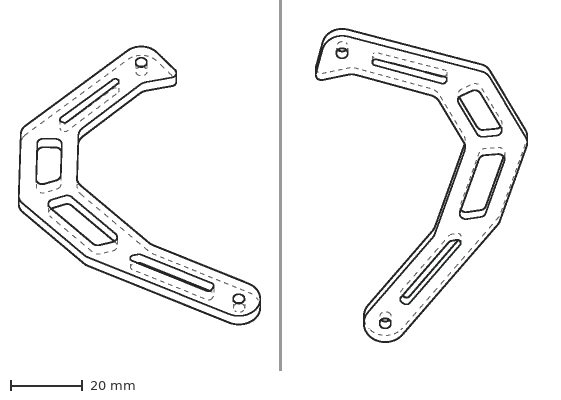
import cadquery as cq
import math

thickness = 4.0
arm_angle = 19.7
arm_end_radius = 6.0
right_hole = (84.7, 20.7)
left_hole = (6.1, 57.8)
hole_diameter = 3.2
left_end_radius = 5.6

outer_diagonal = 17.5
inner_diagonal = 40.2
web_top = 16.05
left_arm_inner_x = 11.5
left_edge_foot_x = -0.045
left_edge_head = (0.5, 63.8)
hook_tip = (17.1, 62.65)
hook_root_y = 53.2

bend_radius = 4.0
hook_tip_radius = 1.6

pocket_radius = 1.7
left_slot_radius = 0.9
right_slot_end_radius = 1.1
right_slot_tip_radius = 1.0

left_slot_right_x = 7.0
left_slot_foot = (4.7, 27.0)
left_slot_foot_right_y = 27.9
left_slot_head = (5.1, 49.0)

pocket_outer_diagonal = 24.1
pocket_inner_diagonal = 33.7
pocket_upper_end_x = (5.5, 10.3)
pocket_lower_end_x = (17.3, 20.2)

bottom_pocket_y = (4.5, 11.4)
bottom_pocket_left_x = (22.85, 25.75)
bottom_pocket_right_x = (43.9, 47.4)

right_slot_width = 3.0
right_slot_half_width = right_slot_width / 2
right_slot_end = -8.2
right_slot_upper_start = -31.6
right_slot_lower_start = -35.2


def on_diagonal(x, diagonal):
    """Point at the given X on the 45 degree line x + y = diagonal."""
    return (x, diagonal - x)


def on_right_arm(along, across):
    """Point at the given distances along and across the arm from the right hole."""
    angle = math.radians(arm_angle)
    x = right_hole[0] + along * math.cos(angle) - across * math.sin(angle)
    y = right_hole[1] + along * math.sin(angle) + across * math.cos(angle)
    return (x, y)


def arm_edge_x(across, y):
    """X where a line parallel to the right arm reaches the height y."""
    tangent_x, tangent_y = on_right_arm(0, across)
    return tangent_x - (tangent_y - y) / math.tan(math.radians(arm_angle))


def rounded_plate(corners):
    """Extrude a polygon of (point, fillet radius) corners; zero keeps a corner sharp."""
    path = []
    for i, (point, radius) in enumerate(corners):
        corner = cq.Vector(*point)
        to_previous = (cq.Vector(*corners[i - 1][0]) - corner).normalized()
        to_next = (cq.Vector(*corners[(i + 1) % len(corners)][0]) - corner).normalized()
        half_angle = to_previous.getAngle(to_next) / 2
        setback = radius / math.tan(half_angle)
        bisector = (to_previous + to_next).normalized()
        middle = corner + bisector * (radius / math.sin(half_angle) - radius)
        path.append((corner + to_previous * setback, middle, corner + to_next * setback, radius))

    sketch = cq.Workplane("XY").moveTo(*path[0][0].toTuple()[:2])
    for i, (start, middle, end, radius) in enumerate(path):
        if i > 0:
            sketch = sketch.lineTo(start.x, start.y)
        if radius > 0:
            sketch = sketch.threePointArc((middle.x, middle.y), (end.x, end.y))
    return sketch.close().extrude(thickness)


def round_plate(center, radius):
    return cq.Workplane("XY").center(*center).circle(radius).extrude(thickness)


body = rounded_plate([
    (on_diagonal(left_edge_foot_x, outer_diagonal), bend_radius),
    ((outer_diagonal, 0), bend_radius),
    ((arm_edge_x(-arm_end_radius, 0), 0), bend_radius),
    (on_right_arm(0, -arm_end_radius), 0),
    (on_right_arm(0, arm_end_radius), 0),
    ((arm_edge_x(arm_end_radius, web_top), web_top), bend_radius),
    ((inner_diagonal - web_top, web_top), bend_radius),
    (on_diagonal(left_arm_inner_x, inner_diagonal), bend_radius),
    ((left_arm_inner_x, hook_root_y), bend_radius),
    (hook_tip, hook_tip_radius),
    (left_edge_head, left_end_radius),
]).union(round_plate(right_hole, arm_end_radius))

left_slot = rounded_plate([
    (left_slot_foot, left_slot_radius),
    ((left_slot_right_x, left_slot_foot_right_y), left_slot_radius),
    ((left_slot_right_x, left_slot_head[1]), left_slot_radius),
    (left_slot_head, left_slot_radius),
])
diagonal_pocket = rounded_plate([
    (on_diagonal(pocket_upper_end_x[0], pocket_outer_diagonal), pocket_radius),
    (on_diagonal(pocket_lower_end_x[0], pocket_outer_diagonal), pocket_radius),
    (on_diagonal(pocket_lower_end_x[1], pocket_inner_diagonal), pocket_radius),
    (on_diagonal(pocket_upper_end_x[1], pocket_inner_diagonal), pocket_radius),
])
bottom_pocket = rounded_plate([
    ((bottom_pocket_left_x[0], bottom_pocket_y[0]), pocket_radius),
    ((bottom_pocket_right_x[0], bottom_pocket_y[0]), pocket_radius),
    ((bottom_pocket_right_x[1], bottom_pocket_y[1]), pocket_radius),
    ((bottom_pocket_left_x[1], bottom_pocket_y[1]), pocket_radius),
])
right_slot = rounded_plate([
    (on_right_arm(right_slot_lower_start, -right_slot_half_width), right_slot_tip_radius),
    (on_right_arm(right_slot_end, -right_slot_half_width), right_slot_end_radius),
    (on_right_arm(right_slot_end, right_slot_half_width), right_slot_end_radius),
    (on_right_arm(right_slot_upper_start, right_slot_half_width), right_slot_end_radius),
])

result = body
for window in (left_slot, diagonal_pocket, bottom_pocket, right_slot):
    result = result.cut(window)

for hole in (left_hole, right_hole):
    result = result.cut(round_plate(hole, hole_diameter / 2))